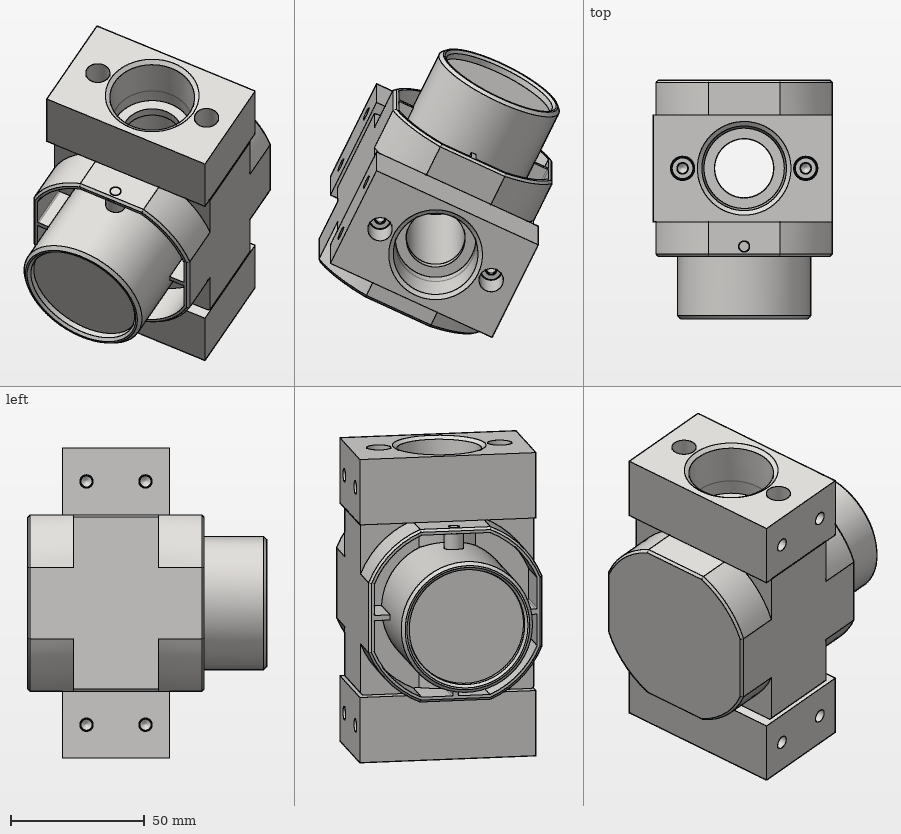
import cadquery as cq
import math


DRILL_TIP_ANGLE = 118.0

HOUSING_SIZE = 66.0
CORNER_RADIUS = 35.6
SHELL_CHAMFER = 0.9
CORE_DEPTH = 31.9
CORE_CHAMFER = 0.8
RECESS_SIZE = 62.0
TUBE_DIAMETER = 38.5
BORE_DIAMETER = 22.0
RIB_THICKNESS = 2.0
RIB_FILLET = 0.5

BLOCK_WIDTH = 67.0
BLOCK_DEPTH = 40.0
TOTAL_HEIGHT = 116.0
PORT_CHAMFER_DIAMETER = 35.0
PORT_CHAMFER_DEPTH = 1.2
PORT_MOUTH_DIAMETER = 31.7
PORT_TAPER_END = 15.7
PORT_DIAMETER = 30.0
PORT_DEPTH = 21.3
SIDE_HOLE_SPACING = 22.0
SIDE_THREAD_DIAMETER = 5.0
SIDE_THREAD_DEPTH = 8.1
SIDE_DRILL_DIAMETER = 4.2
SIDE_DRILL_DEPTH = 9.3

SCREW_SPACING = 46.0
SCREW_HOLE_DIAMETER = 9.0
SCREW_HEAD_DIAMETER = 8.5
SCREW_HEAD_HEIGHT = 5.0
SCREW_SHANK_DIAMETER = 5.0
SCREW_SEAT_HEIGHT = 6.0
SCREW_THREAD_LENGTH = 7.0
SCREW_HEAD_CHAMFER = 0.3
SOCKET_MOUTH_DIAMETER = 4.3
SOCKET_DIAMETER = 3.8
SOCKET_DEPTH = 2.0

KNOB_DIAMETER = 50.0
KNOB_FRONT = 56.4
KNOB_CHAMFER = 1.3
KNOB_DISH_DIAMETER = 44.0
KNOB_DISH_DEPTH = 3.4
KNOB_DISH_CHAMFER = 1.0

PIN_POSITION = 29.2
PIN_COLLAR_DIAMETER = 7.3
PIN_TIP_DIAMETER = 3.8
PIN_HOLE_DIAMETER = 4.2

HALF = HOUSING_SIZE / 2
FLOOR_Y = -CORE_DEPTH / 2
INNER_HALF = RECESS_SIZE / 2
SHELL_WALL = HALF - INNER_HALF
INNER_RADIUS = CORNER_RADIUS - SHELL_WALL
BLOCK_HEIGHT = TOTAL_HEIGHT / 2 - HALF
KNOB_RADIUS = KNOB_DIAMETER / 2


def y_cylinder(diameter, back, front):
    """Cylinder about the Y axis from y = back forward to y = front."""
    return cq.Workplane("XZ", origin=(0, back, 0)).circle(diameter / 2).extrude(back - front)


def z_cylinder(diameter, bottom, top, x=0.0, y=0.0):
    """Cylinder parallel to Z."""
    return cq.Workplane("XY", origin=(x, y, bottom)).circle(diameter / 2).extrude(top - bottom)


def rounded_square(half_width, radius, back, front):
    """Square prism along Y whose corners are cut round by a cylinder about Y."""
    square = cq.Workplane("XZ", origin=(0, back, 0)).rect(2 * half_width, 2 * half_width)
    return square.extrude(back - front).intersect(y_cylinder(2 * radius, back, front))


def screw_places():
    """X positions of the screws in one block."""
    return [-SCREW_SPACING / 2, SCREW_SPACING / 2]


def front_recess():
    """Space inside the front of the shell, leaving the flow tube and three ribs standing."""
    recess = rounded_square(INNER_HALF, INNER_RADIUS, FLOOR_Y, -HALF)
    length = -FLOOR_Y + HALF
    middle_y = (FLOOR_Y - HALF) / 2
    rib_length = HALF - KNOB_RADIUS / 2
    for direction in (-1, 1):
        side_rib = cq.Workplane("XY").box(rib_length, length, RIB_THICKNESS)
        recess = recess.cut(side_rib.translate((direction * (HALF - rib_length / 2), middle_y, 0)))
    lower_rib = cq.Workplane("XY").box(RIB_THICKNESS, length, rib_length)
    recess = recess.cut(lower_rib.translate((0, middle_y, -HALF + rib_length / 2)))

    tolerance = 0.1
    reach = INNER_HALF + tolerance
    inset = INNER_HALF - tolerance
    near_rib = RIB_THICKNESS
    for direction in (-1, 1):
        side = cq.selectors.BoxSelector(
            (direction * inset, -HALF, -near_rib), (direction * reach, HALF, near_rib)
        )
        recess = recess.edges("|Y").edges(side).fillet(RIB_FILLET)
    bottom = cq.selectors.BoxSelector((-near_rib, -HALF, -reach), (near_rib, HALF, -inset))
    recess = recess.edges("|Y").edges(bottom).fillet(RIB_FILLET)

    recess = recess.cut(z_cylinder(TUBE_DIAMETER, -HALF, HALF))
    return recess.union(y_cylinder(KNOB_DIAMETER, FLOOR_Y, -HALF))


def make_housing():
    shell = rounded_square(HALF, CORNER_RADIUS, HALF, -HALF).faces("<Y or >Y").chamfer(SHELL_CHAMFER)
    core = cq.Workplane("XY").box(HOUSING_SIZE, CORE_DEPTH, HOUSING_SIZE)
    core = core.edges("|Y").chamfer(CORE_CHAMFER)
    body = shell.union(core).cut(front_recess())
    body = body.cut(z_cylinder(BORE_DIAMETER, -HALF, HALF))
    body = body.cut(z_cylinder(PIN_HOLE_DIAMETER, INNER_HALF, HALF, y=-PIN_POSITION))
    for x in screw_places():
        body = body.cut(z_cylinder(SCREW_SHANK_DIAMETER, HALF - SCREW_THREAD_LENGTH, HALF, x))
        body = body.cut(z_cylinder(SCREW_SHANK_DIAMETER, -HALF, SCREW_THREAD_LENGTH - HALF, x))
    return body


def port_cutter():
    """Chamfered port, tapered then straight, with a smaller bore running on to the housing."""
    top = TOTAL_HEIGHT / 2
    return (
        cq.Workplane("XZ")
        .moveTo(0, top)
        .lineTo(PORT_CHAMFER_DIAMETER / 2, top)
        .lineTo(PORT_MOUTH_DIAMETER / 2, top - PORT_CHAMFER_DEPTH)
        .lineTo(PORT_DIAMETER / 2, top - PORT_TAPER_END)
        .lineTo(PORT_DIAMETER / 2, top - PORT_DEPTH)
        .lineTo(BORE_DIAMETER / 2, top - PORT_DEPTH)
        .lineTo(BORE_DIAMETER / 2, HALF)
        .lineTo(0, HALF)
        .close()
        .revolve(360, (0, 0, 0), (0, 1, 0))
    )


def side_hole_cutter():
    """Blind threaded hole along +X from the origin, with a conical drill tip."""
    tip = SIDE_DRILL_DIAMETER / 2 / math.tan(math.radians(DRILL_TIP_ANGLE / 2))
    return (
        cq.Workplane("XY")
        .lineTo(0, SIDE_THREAD_DIAMETER / 2)
        .lineTo(SIDE_THREAD_DEPTH, SIDE_THREAD_DIAMETER / 2)
        .lineTo(SIDE_THREAD_DEPTH, SIDE_DRILL_DIAMETER / 2)
        .lineTo(SIDE_DRILL_DEPTH, SIDE_DRILL_DIAMETER / 2)
        .lineTo(SIDE_DRILL_DEPTH + tip, 0)
        .close()
        .revolve(360, (0, 0, 0), (1, 0, 0))
    )


def make_upper_block():
    """Flange block flush with the +X side of the housing and overhanging its -X side."""
    left = HALF - BLOCK_WIDTH
    block = cq.Workplane("XY").box(BLOCK_WIDTH, BLOCK_DEPTH, BLOCK_HEIGHT, centered=(False, True, False))
    block = block.translate((left, 0, HALF)).cut(port_cutter())
    for x in screw_places():
        seat = HALF + SCREW_SEAT_HEIGHT
        block = block.cut(z_cylinder(SCREW_HOLE_DIAMETER, seat, TOTAL_HEIGHT / 2, x))
        block = block.cut(z_cylinder(SCREW_SHANK_DIAMETER, HALF, seat, x))
    for y in (-SIDE_HOLE_SPACING / 2, SIDE_HOLE_SPACING / 2):
        block = block.cut(side_hole_cutter().translate((left, y, HALF + BLOCK_HEIGHT / 2)))
    return block


def make_upper_screw(x):
    """Socket head screw holding the upper block to the housing."""
    seat = HALF + SCREW_SEAT_HEIGHT
    head_top = seat + SCREW_HEAD_HEIGHT
    screw = z_cylinder(SCREW_HEAD_DIAMETER, seat, head_top, x).faces(">Z").chamfer(SCREW_HEAD_CHAMFER)
    screw = screw.union(z_cylinder(SCREW_SHANK_DIAMETER, HALF - SCREW_THREAD_LENGTH, seat, x))
    socket_tip = SOCKET_DIAMETER / 2 / math.tan(math.radians(DRILL_TIP_ANGLE / 2))
    socket_chamfer = (SOCKET_MOUTH_DIAMETER - SOCKET_DIAMETER) / 2
    socket = (
        cq.Workplane("XZ")
        .lineTo(SOCKET_MOUTH_DIAMETER / 2, 0)
        .lineTo(SOCKET_DIAMETER / 2, -socket_chamfer)
        .lineTo(SOCKET_DIAMETER / 2, -SOCKET_DEPTH)
        .lineTo(0, -SOCKET_DEPTH - socket_tip)
        .close()
        .revolve(360, (0, 0, 0), (0, 1, 0))
    )
    return screw.cut(socket.translate((x, 0, head_top)))


def make_knob():
    """Chamfered cylinder standing on the recess floor, with a shallow dish in its front face."""
    dish_radius = KNOB_DISH_DIAMETER / 2
    dish_floor = KNOB_FRONT - KNOB_DISH_DEPTH
    return (
        cq.Workplane("XY")
        .moveTo(0, FLOOR_Y)
        .lineTo(KNOB_RADIUS, FLOOR_Y)
        .lineTo(KNOB_RADIUS, KNOB_CHAMFER - KNOB_FRONT)
        .lineTo(KNOB_RADIUS - KNOB_CHAMFER, -KNOB_FRONT)
        .lineTo(dish_radius + KNOB_DISH_CHAMFER, -KNOB_FRONT)
        .lineTo(dish_radius, KNOB_DISH_CHAMFER - KNOB_FRONT)
        .lineTo(dish_radius, -dish_floor)
        .lineTo(0, -dish_floor)
        .close()
        .revolve(360, (0, 0, 0), (0, 1, 0))
    )


def make_pin():
    """Pin whose collar fits the round of the knob and whose tip ends flush with the shell."""
    collar = z_cylinder(PIN_COLLAR_DIAMETER, 0, INNER_HALF, y=-PIN_POSITION)
    collar = collar.cut(y_cylinder(KNOB_DIAMETER, 0, -KNOB_FRONT))
    return collar.union(z_cylinder(PIN_TIP_DIAMETER, INNER_HALF, HALF, y=-PIN_POSITION))


housing = make_housing()
knob = make_knob()
pin = make_pin()
upper_block = make_upper_block()
blocks = [upper_block, upper_block.mirror("XY")]
screws = []
for screw_x in screw_places():
    upper_screw = make_upper_screw(screw_x)
    screws += [upper_screw, upper_screw.mirror("XY")]

bodies = [housing, knob, pin, *blocks, *screws]
result = cq.Compound.makeCompound([body.solids().val() for body in bodies])